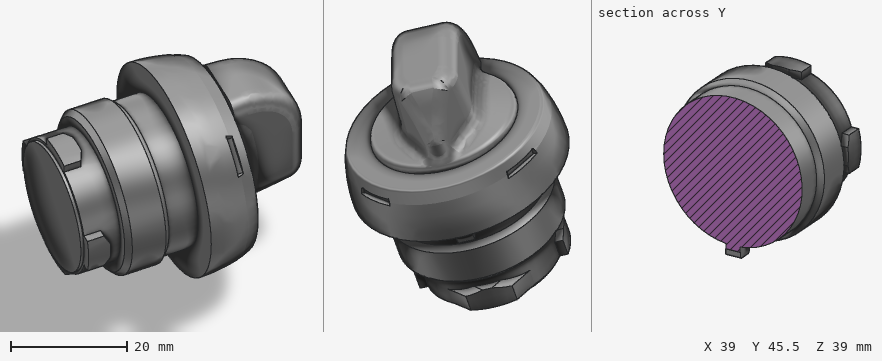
import cadquery as cq
import math


end_disc_radius = 11.85
end_disc_length = 0.6
plug_radius = 12.35

lug_radius = 13.75
lug_inner_height = 9.1
lug_end = 4.75
lug_chamfer_length = 1.0
lug_chamfer_width = 1.9
lug_half_width = 3.65
wedge_lug_side_distance = 12.2
wedge_lug_side_angle = 45

collar_start = 7.3
collar_end = 15.65
collar_radius = 15.0
collar_chamfer = 1.0
neck_radius = 14.05

flange_back = 21.15
flange_front = 31.08
flange_diameter = 39.0
flange_radius = flange_diameter / 2
flange_bulge_radius = 19.25
flange_bulge_position = 24.95
flange_shoulder_radius = 18.55
flange_shoulder_position = 28.57
flange_rim_radius = 17.85
flange_rim_position = 30.5
flange_rim_mid_radius = 17.55
flange_rim_mid_position = 30.9
flange_face_radius = 17.15

slot_position = 28.05
slot_width = 1.15
slot_end_x = 10.6
slot_end_z = 10.05
slot_floor_distance = 17.75

key_width = 2.95
key_start = 17.35
key_foot_end = 20.3
key_web_depth = 14.95
key_depth = 16.2
key_fillet = 0.45
key_overlap = 0.45

hub_base_radius = 13.2
hub_mid_radius = 12.9
hub_mid_position = 32.0
hub_shoulder_radius = 12.1
hub_shoulder_position = 32.6
hub_top_radius = 4.55
hub_top_position = 34.95

handle_base = 31.45
handle_tip = 45.5
handle_half_width = 6.7
handle_draft = 3.8
handle_trim = 0.45
handle_top = 16.93
handle_top_radius = 11.6
flank_bend_height = -2.75
flank_bend_radius = 6.82
flank_angle = 35
ridge_radius = 2.75
ridge_base_height = -12.9
ridge_mid_height = -11.2
ridge_mid_position = 38.68
ridge_tip_height = -6.35
handle_rim_fillet = 2.9
handle_root_fillet = 2.75


def make_body():
    """Plug, collar, neck and flange as one turned profile."""
    return (
        cq.Workplane("XY")
        .lineTo(end_disc_radius, 0)
        .lineTo(end_disc_radius, end_disc_length)
        .lineTo(plug_radius, end_disc_length)
        .lineTo(plug_radius, collar_start)
        .lineTo(collar_radius - collar_chamfer, collar_start)
        .lineTo(collar_radius, collar_start + collar_chamfer)
        .lineTo(collar_radius, collar_end - collar_chamfer)
        .lineTo(neck_radius, collar_end)
        .lineTo(neck_radius, flange_back)
        .lineTo(flange_radius, flange_back)
        .threePointArc(
            (flange_bulge_radius, flange_bulge_position),
            (flange_shoulder_radius, flange_shoulder_position),
        )
        .lineTo(flange_rim_radius, flange_rim_position)
        .threePointArc(
            (flange_rim_mid_radius, flange_rim_mid_position),
            (flange_face_radius, flange_front),
        )
        .lineTo(0, flange_front)
        .close()
        .revolve(360, (0, 0, 0), (0, 1, 0))
    )


def make_lug(side_distance, side_angle):
    """Lug pointing to +Z.

    Each side is a plane at side_distance from the axis whose normal is turned
    side_angle degrees away from +Z, chamfered towards the collar.
    """
    span = 2 * lug_radius
    height = lug_radius - lug_inner_height
    lug = cq.Workplane("XZ").circle(lug_radius).extrude(-(lug_end - end_disc_length))
    lug = lug.translate((0, end_disc_length, 0))
    upper_block = cq.Workplane("XY", origin=(0, 0, lug_inner_height)).box(
        span, 2 * lug_end, height, centered=(True, True, False)
    )
    lug = lug.intersect(upper_block)
    for direction in (1, -1):
        side_block = (
            cq.Workplane("XY")
            .moveTo(-span, 0)
            .lineTo(side_distance, 0)
            .lineTo(side_distance, lug_end - lug_chamfer_length)
            .lineTo(side_distance - lug_chamfer_width, lug_end)
            .lineTo(-span, lug_end)
            .close()
            .extrude(span, both=True)
            .rotate((0, 0, 0), (0, 1, 0), side_angle - 90)
        )
        if direction == -1:
            side_block = side_block.mirror("YZ")
        lug = lug.intersect(side_block)
    return lug


def make_slot():
    """Slot cutter for the dome at +X +Z: end walls along X and Z, flat floor at 45 degrees."""
    floor_sum = slot_floor_distance * math.sqrt(2)
    corners = [
        (slot_end_x, floor_sum - slot_end_x),
        (slot_end_x, flange_radius),
        (flange_radius, flange_radius),
        (flange_radius, slot_end_z),
        (floor_sum - slot_end_z, slot_end_z),
    ]
    slot = cq.Workplane("XZ").polyline(corners).close().extrude(-slot_width)
    return slot.translate((0, slot_position, 0))


def make_key():
    """Key below the neck: a web against the flange and a deeper rounded foot."""
    foot_size = (key_width, key_foot_end - key_start, key_depth - neck_radius + key_overlap)
    foot = (
        cq.Workplane("XY", origin=(0, key_start, -key_depth))
        .box(*foot_size, centered=(True, False, False))
        .edges("|X and <Z")
        .fillet(key_fillet)
    )
    web_start = key_start + key_fillet
    web_size = (key_width, flange_back - web_start, key_web_depth - neck_radius + key_overlap)
    web = cq.Workplane("XY", origin=(0, web_start, -key_web_depth)).box(
        *web_size, centered=(True, False, False)
    )
    return foot.union(web)


def make_hub():
    """Low turned cone with a rounded shoulder, carrying the handle."""
    return (
        cq.Workplane("XY")
        .moveTo(0, flange_front)
        .lineTo(hub_base_radius, flange_front)
        .threePointArc(
            (hub_mid_radius, hub_mid_position),
            (hub_shoulder_radius, hub_shoulder_position),
        )
        .lineTo(hub_top_radius, hub_top_position)
        .lineTo(0, hub_top_position)
        .close()
        .revolve(360, (0, 0, 0), (0, 1, 0))
    )


def make_handle():
    """Pointer handle: a drafted arrow outline trimmed by a rounded side profile."""
    flank_turn = math.radians(flank_angle)
    half_turn = flank_turn / 2
    normal_z = -math.sin(flank_turn)
    normal_x = math.cos(flank_turn)
    bend_x = handle_half_width - flank_bend_radius
    flank_distance = flank_bend_height * normal_z + bend_x * normal_x + flank_bend_radius
    ridge_center = (flank_distance - ridge_radius) / normal_z
    bend_end = (flank_bend_height + flank_bend_radius * normal_z,
                bend_x + flank_bend_radius * normal_x)
    bend_mid = (flank_bend_height - flank_bend_radius * math.sin(half_turn),
                bend_x + flank_bend_radius * math.cos(half_turn))
    ridge_start = (ridge_center + ridge_radius * normal_z, ridge_radius * normal_x)
    outline_top = handle_top + handle_top_radius

    def mirrored(point):
        return point[0], -point[1]

    base_plane = cq.Plane(origin=(0, handle_base, 0), xDir=(0, 0, 1), normal=(0, 1, 0))
    arrow = (
        cq.Workplane(base_plane)
        .moveTo(outline_top, handle_half_width)
        .lineTo(flank_bend_height, handle_half_width)
        .threePointArc(bend_mid, bend_end)
        .lineTo(*ridge_start)
        .threePointArc((ridge_center - ridge_radius, 0), mirrored(ridge_start))
        .lineTo(*mirrored(bend_end))
        .threePointArc(mirrored(bend_mid), (flank_bend_height, -handle_half_width))
        .lineTo(outline_top, -handle_half_width)
        .close()
        .extrude(handle_tip + handle_trim - handle_base, taper=handle_draft)
    )
    arc_inset = handle_top_radius * (1 - math.sqrt(0.5))
    side_profile = (
        cq.Workplane("YZ")
        .moveTo(handle_base, handle_top)
        .lineTo(handle_tip - handle_top_radius, handle_top)
        .threePointArc(
            (handle_tip - arc_inset, handle_top - arc_inset),
            (handle_tip, handle_top - handle_top_radius),
        )
        .lineTo(handle_tip, ridge_tip_height)
        .threePointArc(
            (ridge_mid_position, ridge_mid_height),
            (handle_base, ridge_base_height),
        )
        .close()
        .extrude(2 * handle_half_width, both=True)
    )
    handle = arrow.intersect(side_profile)
    tip_edges = handle.faces(">Y").edges("not >Z")
    rim_edges = handle.edges("%ELLIPSE").add(tip_edges)
    return rim_edges.fillet(handle_rim_fillet)


def make_knob():
    """Hub and handle with a concave fillet where the handle rises from the hub cone."""
    knob = make_hub().union(make_handle())
    return knob.edges("%HYPERBOLA").fillet(handle_root_fillet)


result = make_body().union(make_knob()).union(make_key())

straight_lug = make_lug(lug_half_width, 90)
wedge_lug = make_lug(wedge_lug_side_distance, wedge_lug_side_angle)
for lug, turn in ((straight_lug, 0), (straight_lug, 90), (straight_lug, -90), (wedge_lug, 180)):
    result = result.union(lug.rotate((0, 0, 0), (0, 1, 0), turn))

upper_slots = make_slot().union(make_slot().mirror("YZ"))
result = result.cut(upper_slots).cut(upper_slots.mirror("XY"))